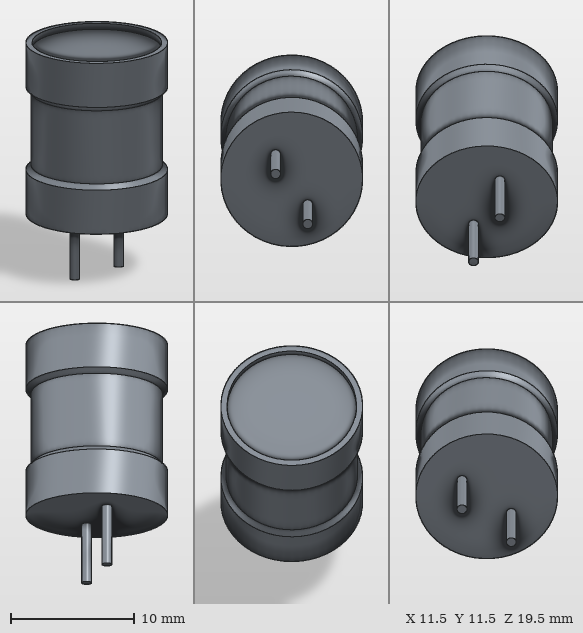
import cadquery as cq

total_height = 19.5
flange_diameter = 11.5
flange_height = 3.75
waist_step = 0.4
rim_width = 0.5
recess_depth = 0.5
pin_diameter = 0.8
pin_length = 5.0
pin_pitch = 5.01

body_height = total_height - pin_length
flange_radius = flange_diameter / 2
waist_radius = flange_radius - waist_step
recess_radius = flange_radius - rim_width
lower_flange_top = flange_height
waist_bottom = lower_flange_top + waist_step
upper_flange_bottom = body_height - flange_height
waist_top = upper_flange_bottom - waist_step
recess_floor = body_height - recess_depth


def make_body():
    """Bobbin with a narrow waist and a shallow round recess in its top, revolved about Z."""
    return (
        cq.Workplane("XZ")
        .moveTo(0, 0)
        .lineTo(flange_radius, 0)
        .lineTo(flange_radius, lower_flange_top)
        .lineTo(waist_radius, waist_bottom)
        .lineTo(waist_radius, waist_top)
        .lineTo(flange_radius, upper_flange_bottom)
        .lineTo(flange_radius, body_height)
        .lineTo(recess_radius, body_height)
        .lineTo(recess_radius, recess_floor)
        .lineTo(0, recess_floor)
        .close()
        .revolve(360, (0, 0, 0), (0, 1, 0))
    )


def make_pins():
    """Two round pins hanging below the body, spaced along Y."""
    return (
        cq.Workplane("XY")
        .pushPoints([(0, -pin_pitch / 2), (0, pin_pitch / 2)])
        .circle(pin_diameter / 2)
        .extrude(-pin_length)
    )


result = make_body().union(make_pins())